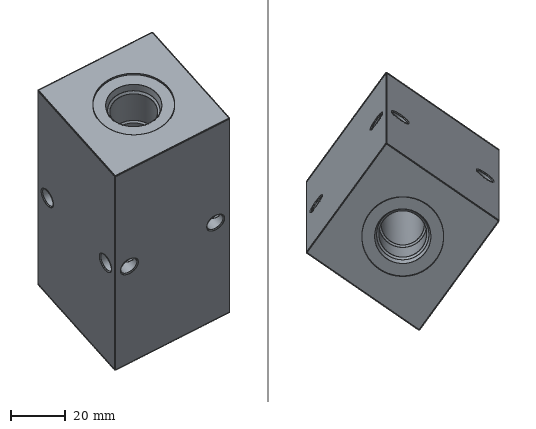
import cadquery as cq
import math

WIDTH = 50.8
HEIGHT = 107.95
EDGE_BREAK = 0.254

BORE_DIAMETER = 15.875
SPOTFACE_DIAMETER = 29.97
SPOTFACE_DEPTH = 0.8
SEAT_DIAMETER = 20.6
SEAT_DEPTH = 2.7
SEAT_HALF_ANGLE = 15.0
THREAD_DIAMETER = 17.5
THREAD_DEPTH = 19.05
DRILL_HALF_ANGLE = 59.0

MOUNT_DIAMETER = 7.14
MOUNT_SPACING = 38.1
MOUNT_RIM_DIAMETER = 7.94


def make_block():
    """Square block centred on the origin, with every edge broken."""
    return cq.Workplane("XY").box(WIDTH, WIDTH, HEIGHT).edges().chamfer(EDGE_BREAK)


def make_port():
    """Cutter for the top port: spotface, tapered seal seat, lead-in cone, thread bore and drill point."""
    top = HEIGHT / 2
    seat_top = top - SPOTFACE_DEPTH
    seat_bottom = seat_top - SEAT_DEPTH
    seat_radius = SEAT_DIAMETER / 2
    seat_end_radius = seat_radius - SEAT_DEPTH * math.tan(math.radians(SEAT_HALF_ANGLE))
    thread_radius = THREAD_DIAMETER / 2
    lead_in = seat_end_radius - thread_radius
    thread_bottom = top - THREAD_DEPTH
    drill_point_depth = thread_radius / math.tan(math.radians(DRILL_HALF_ANGLE))
    profile = [
        (0, top),
        (SPOTFACE_DIAMETER / 2, top),
        (SPOTFACE_DIAMETER / 2, seat_top),
        (seat_radius, seat_top),
        (seat_end_radius, seat_bottom),
        (thread_radius, seat_bottom - lead_in),
        (thread_radius, thread_bottom),
        (0, thread_bottom - drill_point_depth),
    ]
    return cq.Workplane("XZ").polyline(profile).close().revolve(360, (0, 0), (0, 1))


def make_mount_hole():
    """Cutter along Y through the origin, countersunk at 45 degrees at both mouths."""
    mouth = WIDTH / 2
    radius = MOUNT_DIAMETER / 2
    rim_radius = MOUNT_RIM_DIAMETER / 2
    rim_depth = rim_radius - radius
    profile = [
        (0, -mouth),
        (rim_radius, -mouth),
        (radius, -mouth + rim_depth),
        (radius, mouth - rim_depth),
        (rim_radius, mouth),
        (0, mouth),
    ]
    return cq.Workplane("XY").polyline(profile).close().revolve(360, (0, 0), (0, 1))


def make_bore():
    """Cutter for the vertical bore joining the two ports."""
    return cq.Workplane("XY").circle(BORE_DIAMETER / 2).extrude(HEIGHT / 2, both=True)


top_port = make_port()
bottom_port = top_port.mirror("XY")
result = make_block().cut(make_bore()).cut(top_port).cut(bottom_port)

mount_hole = make_mount_hole()
for side in (-1, 1):
    hole_along_y = mount_hole.translate((side * MOUNT_SPACING / 2, 0, 0))
    hole_along_x = hole_along_y.rotate((0, 0, 0), (0, 0, 1), 90)
    result = result.cut(hole_along_y).cut(hole_along_x)